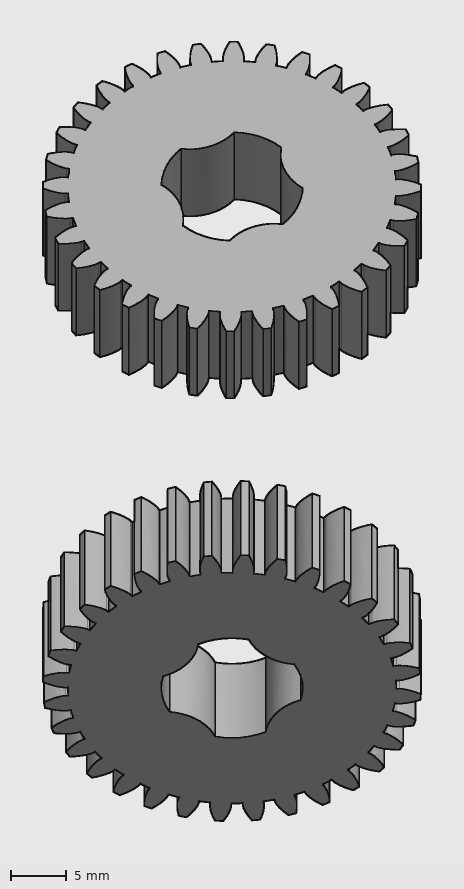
import cadquery as cq
import math

tooth_count = 32
outer_diameter = 34.0
face_width = 9.38
pressure_angle = math.radians(20)
dedendum_factor = 1.25

module = outer_diameter / (tooth_count + 2)
tip_radius = outer_diameter / 2
pitch_radius = module * tooth_count / 2
base_radius = pitch_radius * math.cos(pressure_angle)
root_radius = pitch_radius - dedendum_factor * module
tooth_pitch_angle = 2 * math.pi / tooth_count

bore_radius = 6.35
lobe_count = 4
lobe_radius = 5.0
lobe_reach = 5.1
lobe_center_distance = lobe_reach + lobe_radius

flank_point_count = 7


def polar(radius, angle):
    return (radius * math.cos(angle), radius * math.sin(angle))


def involute(angle):
    return math.tan(angle) - angle


def half_tooth_angle(roll_angle):
    """Angle from the tooth centre line to the flank where the involute has this pressure angle."""
    half_angle_at_pitch = tooth_pitch_angle / 4
    return half_angle_at_pitch + involute(pressure_angle) - involute(roll_angle)


def involute_flank():
    """Flank points from the base circle to the tip, as (radius, angle from the tooth centre line)."""
    points = []
    for i in range(flank_point_count):
        radius = base_radius + (tip_radius - base_radius) * i / (flank_point_count - 1)
        roll_angle = math.acos(base_radius / radius)
        points.append((radius, half_tooth_angle(roll_angle)))
    return points


def add_tooth(outline, center_angle):
    """Draw one tooth and the root gap after it, starting at the foot of its first flank."""
    flank = involute_flank()
    foot_angle = half_tooth_angle(0)
    first_flank = [polar(r, center_angle - a) for r, a in flank]
    second_flank = [polar(r, center_angle + a) for r, a in reversed(flank)]
    gap_middle = polar(root_radius, center_angle + tooth_pitch_angle / 2)
    next_foot = polar(root_radius, center_angle + tooth_pitch_angle - foot_angle)
    return (
        outline.lineTo(*first_flank[0])
        .spline(first_flank[1:], includeCurrent=True)
        .threePointArc(polar(tip_radius, center_angle), second_flank[0])
        .spline(second_flank[1:], includeCurrent=True)
        .lineTo(*polar(root_radius, center_angle + foot_angle))
        .threePointArc(gap_middle, next_foot)
    )


def make_toothed_wheel():
    outline = cq.Workplane("XY").moveTo(*polar(root_radius, -half_tooth_angle(0)))
    for i in range(tooth_count):
        outline = add_tooth(outline, i * tooth_pitch_angle)
    return outline.close().extrude(face_width)


def make_bore():
    lobes = (
        cq.Workplane("XY")
        .polarArray(lobe_center_distance, 0, 360, lobe_count)
        .circle(lobe_radius)
        .extrude(face_width)
    )
    return cq.Workplane("XY").circle(bore_radius).extrude(face_width).cut(lobes)


result = make_toothed_wheel().cut(make_bore())